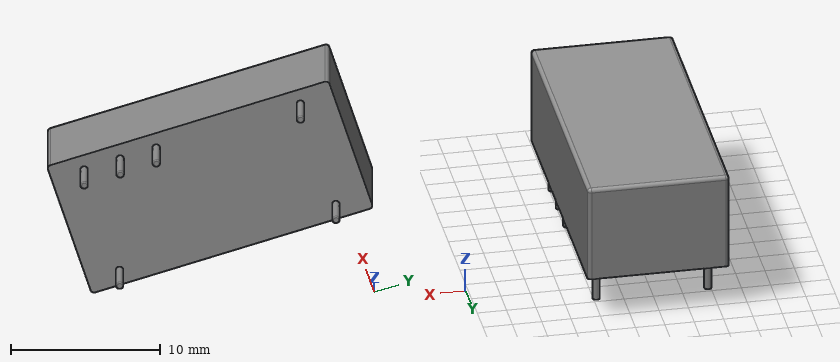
import cadquery as cq

CASE_WIDTH = 9.65
CASE_LENGTH = 19.82
CASE_HEIGHT = 6.88
EDGE_RADIUS = 0.25

TOTAL_HEIGHT = 9.67
PIN_LENGTH = TOTAL_HEIGHT - CASE_HEIGHT
PIN_DIAMETER = 0.52
PIN_TIP_RADIUS = 0.08
PIN_PITCH = 2.54
ROW_X = 1.5 * PIN_PITCH

LEFT_ROW_STEPS = (-3, 3)
RIGHT_ROW_STEPS = (-3, -2, -1, 3)


def make_case():
    """Block with rounded upright and top edges and a flat underside."""
    block = cq.Workplane("XY").box(
        CASE_WIDTH, CASE_LENGTH, CASE_HEIGHT, centered=(True, True, False)
    )
    return block.edges("|Z or >Z").fillet(EDGE_RADIUS)


def make_pin_row(row_x, steps):
    """Row of round pins hanging from the underside, with rounded tips."""
    places = [(row_x, step * PIN_PITCH) for step in steps]
    pins = (
        cq.Workplane("XY")
        .pushPoints(places)
        .circle(PIN_DIAMETER / 2)
        .extrude(-PIN_LENGTH)
    )
    return pins.faces("<Z").edges().fillet(PIN_TIP_RADIUS)


left_pins = make_pin_row(-ROW_X, LEFT_ROW_STEPS)
right_pins = make_pin_row(ROW_X, RIGHT_ROW_STEPS)
result = make_case().union(left_pins).union(right_pins)